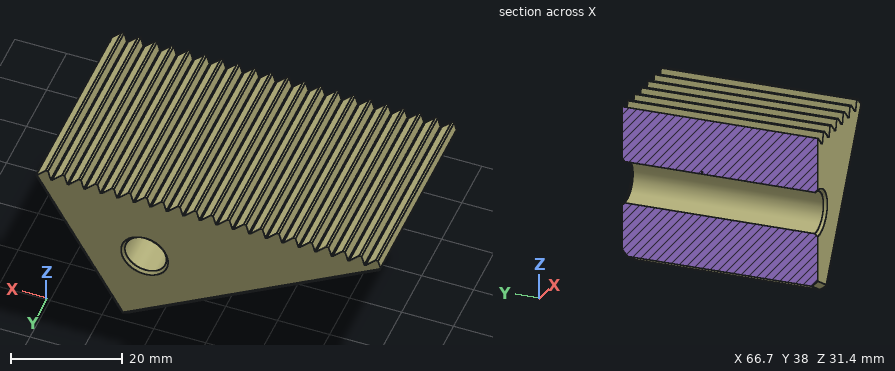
import cadquery as cq
import math

length = 66.65
height = 31.4
width = 38.0

underside_angle = math.radians(30)
edge_chamfer = 1.05

tooth_count = 21
crest_span = 63.6
tooth_pitch = crest_span / (tooth_count - 1)
tooth_depth = 1.9
steep_flank_angle = math.radians(75)
crest_flat = 0.45
root_flat = 0.25
flank_run = tooth_depth / math.tan(steep_flank_angle)

left_end_top = -1.7
left_end_bottom = -3.4
left_end_run = 0.6

hole_diameter = 8.0
hole_chamfer = 0.5
hole_x = 45.45
hole_z = -14.8

apex_z = -height - edge_chamfer * math.sin(underside_angle)
apex_x = left_end_run + (left_end_bottom - apex_z) / math.tan(underside_angle)

right_end_bottom = apex_z + (length - apex_x) / math.tan(underside_angle)


def prism(points):
    """Extrude an XZ outline over the full width, centred on Y = 0."""
    return cq.Workplane("XZ").polyline(points).close().extrude(width / 2, both=True)


def along_underside(distance):
    """Point on the underside, measured from the sharp corner towards the left end."""
    return (
        apex_x - distance * math.cos(underside_angle),
        apex_z + distance * math.sin(underside_angle),
    )


def along_short_face(distance):
    """Point on the short face, measured from the sharp corner upwards."""
    return (
        apex_x + distance * math.sin(underside_angle),
        apex_z + distance * math.cos(underside_angle),
    )


def make_wedge():
    """Right-angled wedge with its side edges chamfered along both lower faces."""
    underside_length = -apex_z / math.sin(underside_angle)
    short_face_length = -apex_z / math.cos(underside_angle)
    wedge = prism([
        along_underside(underside_length),
        (apex_x, apex_z),
        along_short_face(short_face_length),
    ])
    return wedge.faces("<Y or >Y").edges("not |X").chamfer(edge_chamfer)


def make_trim():
    """Toothed outline with blunted ends and a chamfered lower corner."""
    first_crest_x = -left_end_top / math.tan(steep_flank_angle)
    outline = [(left_end_run, left_end_bottom), (0, left_end_top)]
    for tooth in range(tooth_count):
        crest_x = first_crest_x + tooth * tooth_pitch
        next_root_x = crest_x + tooth_pitch - flank_run
        outline += [
            (crest_x, 0),
            (crest_x + crest_flat, 0),
            (next_root_x - root_flat, -tooth_depth),
        ]
        if tooth < tooth_count - 1:
            outline.append((next_root_x, -tooth_depth))
    outline += [
        (length, right_end_bottom),
        along_short_face(edge_chamfer),
        along_underside(edge_chamfer),
    ]
    return prism(outline)


def make_hole():
    """Through hole, chamfered at both mouths."""
    radius = hole_diameter / 2
    mouth_radius = radius + hole_chamfer
    half_width = width / 2
    return (
        cq.Workplane("XY")
        .polyline([
            (0, -half_width),
            (mouth_radius, -half_width),
            (radius, -half_width + hole_chamfer),
            (radius, half_width - hole_chamfer),
            (mouth_radius, half_width),
            (0, half_width),
        ])
        .close()
        .revolve(360, (0, 0), (0, 1))
        .translate((hole_x, 0, hole_z))
    )


result = make_wedge().intersect(make_trim()).cut(make_hole())